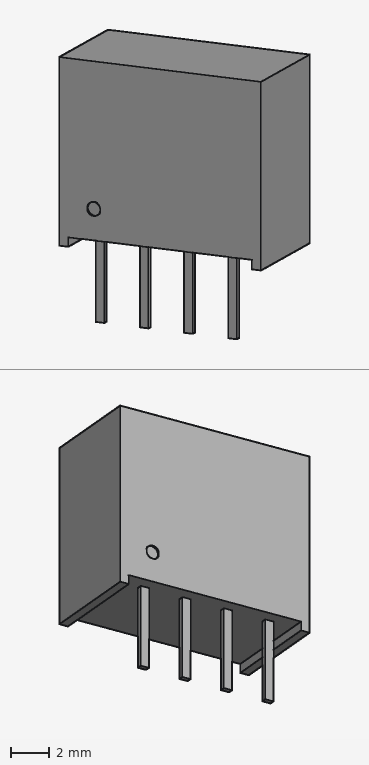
import cadquery as cq

case_length = 11.6
case_depth = 6.0
total_height = 14.26
pin_drop = 4.09
foot_width = 0.53
foot_height = 0.51

pin_count = 4
pin_pitch = 2.54
pin_width = 0.5
pin_thickness = 0.3
pin_setback = 0.91

mark_diameter = 0.75
mark_depth = 0.1
mark_height = 2.21

case_height = total_height - pin_drop
front_y = -case_depth / 2
first_pin_x = -pin_pitch * (pin_count - 1) / 2


def make_case():
    """Block standing on two end feet, with the bottom at Z = 0."""
    block = cq.Workplane("XY").box(case_length, case_depth, case_height, centered=(True, True, False))
    gap_length = case_length - 2 * foot_width
    gap = cq.Workplane("XY").box(gap_length, case_depth, foot_height, centered=(True, True, False))
    return block.cut(gap)


def make_pin(x):
    """Straight rectangular pin hanging from the underside of the case."""
    return (
        cq.Workplane("XY", origin=(x, front_y + pin_setback, -pin_drop))
        .rect(pin_width, pin_thickness)
        .extrude(pin_drop + foot_height)
    )


def make_mark():
    """Disc that sinks the dimple into the front face, above pin 1."""
    return (
        cq.Workplane("XZ", origin=(first_pin_x, front_y + mark_depth, mark_height))
        .circle(mark_diameter / 2)
        .extrude(mark_depth)
    )


result = make_case().cut(make_mark())
for index in range(pin_count):
    result = result.union(make_pin(first_pin_x + index * pin_pitch))